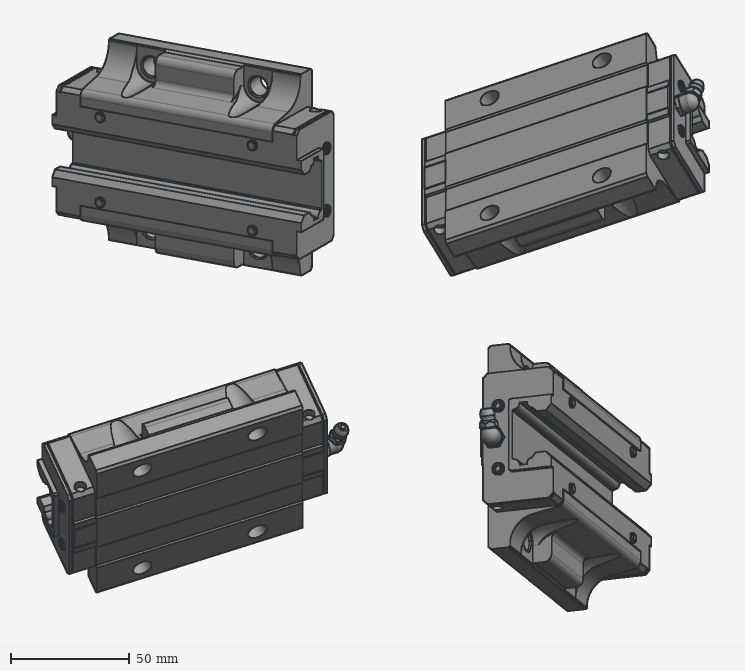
import cadquery as cq
import math


block_length = 93.1
block_width = 90.0
block_depth = 34.1
back_chamfer = 1.2
flange_thickness = 9.9
flange_bevel_y = 0.8
flange_bevel_z = 0.45
cove_radius = 12.6
cove_top_z = 43.9
leg_angle = 10.0
leg_fillet = 3.1
leg_ridge_z = 22.1

relief_depth = 0.8
relief_inner_z = 10.5
relief_outer_z = 25.5

hole_spacing = 52.0
hole_x = hole_spacing / 2
hole_z = 36.1
hole_diameter = 8.5
hole_chamfer = 0.7
spot_radius = 6.9

rib_half_length = hole_x - spot_radius
rib_shoulder = 0.8
rib_front_y = -18.4
rib_round = 3.3
rib_fillet = 2.9

cap_half_width = 28.9
cap_back_y = -2.1
cap_front_y = -33.7
cap_chamfer = 2.0
cap_half_length = 56.4
groove_width = 0.5
groove_depth = 0.4
plate_half_length = 58.3

pad_half_width = 6.8
pad_back_y = -0.4

side_hole_x = 51.7
side_hole_y = -6.1
side_hole_diameter = 5.0
side_hole_depth = 3.9

lip_length = 121.0
lip_half_length = lip_length / 2
lip_half_width = 15.9
lip_back_y = -14.5
lip_chamfer = 0.8

channel_floor_y = -16.1
channel_floor_z = 10.5
shoulder_z = 11.1
inner_shoulder_y = (-16.8, -17.2)
inner_curve = (-18.6, 11.8)
recess_y = (-19.4, -22.7)
recess_z = 13.8
outer_curve = (-23.5, 11.8)
outer_shoulder_y = -25.0
throat_y = (-26.7, -31.2)
throat_z = 9.1
mouth_z = 11.8

screw_y = -9.1
screw_z = 13.9
screw_diameter = 5.2
screw_head = 1.2
screw_chamfer = 0.4
socket_corners = 3.0
socket_depth = 0.8

plug_x = 37.0
plug_z = 19.0
plug_diameter = 4.4
plug_height = 1.3
plug_chamfer = 0.5

nipple_y = -7.2
base_flats = 8.2
base_thickness = 1.8
elbow_diameter = 8.0
elbow_x = -63.4
tilt = 21.5
collar_flats = 6.8
collar_start = 3.3
collar_end = 6.2
collar_top_diameter = 6.0
collar_chamfer_height = 1.4
neck_diameter = 5.7
neck_end = 7.4
head_diameter = 6.2
head_widest = 8.2
head_mid = 9.8
head_mid_diameter = 5.9
tip_end = 11.1
tip_diameter = 4.4
inlet_diameter = 2.3
inlet_depth = 0.7


def extruded_in_x(sketch, x_start, x_end):
    """Extrude a closed outline in (Y, Z) from x_start to x_end."""
    return sketch.extrude(x_end - x_start).translate((x_start, 0, 0))


def mirrored_in_z(half):
    return half.union(half.mirror("XY"))


def box(x_range, y_range, z_range):
    corner = (x_range[0], y_range[0], z_range[0])
    sizes = [high - low for low, high in (x_range, y_range, z_range)]
    return cq.Workplane("XY").box(*sizes, centered=False).translate(corner)


def chamfered_section(half_length, half_width, back_y, front_y, chamfer, edges="|X"):
    """A bar along X, with chamfers on the chosen long edges."""
    bar = box((-half_length, half_length), (front_y, back_y), (-half_width, half_width))
    return bar.edges(edges).chamfer(chamfer)


slope = math.tan(math.radians(leg_angle))
cove_centre_y = -flange_thickness - cove_radius
cove_end_angle = math.radians(leg_angle)
cove_mid_angle = math.radians((leg_angle + 90) / 2)


def cove_point(angle):
    return (
        cove_centre_y + cove_radius * math.sin(angle),
        cove_top_z - cove_radius * math.cos(angle),
    )


def leg_side_z(y):
    """Z of the leg's sloped outer side at a given Y."""
    end_y, end_z = cove_point(cove_end_angle)
    return end_z + (y - end_y) * slope


def steel_block():
    half_width = block_width / 2
    leg_corner = (-block_depth, leg_side_z(-block_depth))
    outline = (
        cq.Workplane("YZ")
        .moveTo(0, 0)
        .lineTo(0, relief_inner_z)
        .lineTo(-relief_depth, relief_inner_z + relief_depth)
        .lineTo(-relief_depth, relief_outer_z - relief_depth)
        .lineTo(0, relief_outer_z)
        .lineTo(0, half_width - back_chamfer)
        .lineTo(-back_chamfer, half_width)
        .lineTo(-flange_thickness + flange_bevel_y, half_width)
        .lineTo(-flange_thickness, half_width - flange_bevel_z)
        .lineTo(-flange_thickness, cove_top_z)
        .threePointArc(cove_point(cove_mid_angle), cove_point(cove_end_angle))
        .lineTo(*leg_corner)
        .lineTo(-block_depth, leg_ridge_z)
        .lineTo(cap_front_y, leg_ridge_z)
        .lineTo(cap_front_y, 0)
        .close()
    )
    half = extruded_in_x(outline, -block_length / 2, block_length / 2)
    half = half.edges(cq.NearestToPointSelector((0, *leg_corner))).fillet(leg_fillet)
    return mirrored_in_z(half)


def rib():
    """Bar on the flange, rounded on top and blended into the sloped leg."""
    corner_z = leg_side_z(rib_front_y)
    blend = rib_fillet * math.tan(math.radians(90 - leg_angle) / 2)
    blend_y = rib_front_y - blend * math.cos(cove_end_angle)
    blend_end = (blend_y, leg_side_z(blend_y))
    root_z = cap_half_width
    bevel_z = block_width / 2 - flange_bevel_z
    rib_outer_z = bevel_z - rib_shoulder * flange_bevel_z / flange_bevel_y
    outline = (
        cq.Workplane("YZ")
        .moveTo(-flange_thickness, root_z)
        .lineTo(-flange_thickness, bevel_z)
        .lineTo(-flange_thickness - rib_shoulder, rib_outer_z)
        .lineTo(rib_front_y + rib_round, rib_outer_z)
        .tangentArcPoint((rib_front_y, rib_outer_z - rib_round), relative=False)
        .lineTo(rib_front_y, corner_z + blend)
        .tangentArcPoint(blend_end, relative=False)
        .lineTo(blend_y, root_z)
        .close()
    )
    return mirrored_in_z(extruded_in_x(outline, -rib_half_length, rib_half_length))


def mounting_hole(x):
    """Spot face, chamfer and through hole on the +Z flange."""
    outer_z = block_width / 2
    spot_y = (-block_depth, -flange_thickness)
    spot = (
        cq.Workplane("XZ", origin=(x, spot_y[1], hole_z))
        .circle(spot_radius)
        .extrude(spot_y[1] - spot_y[0])
    )
    opening = box((x - spot_radius, x + spot_radius), spot_y, (hole_z, outer_z))
    bore = (
        cq.Workplane("XZ", origin=(x, 0, hole_z))
        .circle(hole_diameter / 2)
        .extrude(flange_thickness)
    )
    entry = cq.Workplane(cq.Solid.makeCone(
        hole_diameter / 2 + hole_chamfer, hole_diameter / 2, hole_chamfer,
        cq.Vector(x, -flange_thickness, hole_z), cq.Vector(0, 1, 0),
    ))
    return spot.union(opening).union(bore).union(entry)


def cap_section():
    """The caps and plates, with the groove between each cap and its plate."""
    bar = chamfered_section(plate_half_length, cap_half_width, cap_back_y, cap_front_y, cap_chamfer)
    core = chamfered_section(
        plate_half_length, cap_half_width - groove_depth,
        cap_back_y - groove_depth, cap_front_y, cap_chamfer,
    )
    for x_start in (cap_half_length, -cap_half_length - groove_width):
        slab = box(
            (x_start, x_start + groove_width),
            (cap_front_y, cap_back_y),
            (-cap_half_width, cap_half_width),
        )
        bar = bar.cut(slab.cut(core))
    return bar


def cap_pads():
    """Stepped pads that fill the back of the caps up to the block's relief."""
    x_range = (-cap_half_length, cap_half_length)
    wide = box(x_range, (cap_back_y, -relief_depth), (-relief_inner_z, relief_inner_z))
    narrow = box(x_range, (cap_back_y, pad_back_y), (-pad_half_width, pad_half_width))
    return wide.union(narrow)


def side_hole(x):
    return (
        cq.Workplane("XY", origin=(x, side_hole_y, cap_half_width - side_hole_depth))
        .circle(side_hole_diameter / 2)
        .extrude(side_hole_depth)
    )


def rail_channel():
    """Clearance for the rail, with a recess along each side wall."""
    outline = (
        cq.Workplane("YZ")
        .moveTo(channel_floor_y, 0)
        .lineTo(channel_floor_y, channel_floor_z)
        .lineTo(inner_shoulder_y[0], shoulder_z)
        .lineTo(inner_shoulder_y[1], shoulder_z)
        .threePointArc(inner_curve, (recess_y[0], recess_z))
        .lineTo(recess_y[1], recess_z)
        .threePointArc(outer_curve, (outer_shoulder_y, shoulder_z))
        .lineTo(throat_y[0], throat_z)
        .lineTo(throat_y[1], throat_z)
        .lineTo(cap_front_y, mouth_z)
        .lineTo(cap_front_y, 0)
        .close()
    )
    return mirrored_in_z(extruded_in_x(outline, -lip_half_length, lip_half_length))


def screw_head_at(z):
    """Screw head with a hexagon socket, on the +X end plate."""
    return (
        cq.Workplane("YZ", origin=(plate_half_length, screw_y, z))
        .circle(screw_diameter / 2)
        .extrude(screw_head)
        .faces(">X").chamfer(screw_chamfer)
        .faces(">X").workplane(origin=(0, screw_y, z))
        .polygon(6, socket_corners)
        .cutBlind(-socket_depth)
    )


def plug(x, z):
    return (
        cq.Workplane("XZ", origin=(x, cap_front_y, z))
        .circle(plug_diameter / 2)
        .extrude(plug_height)
        .faces("<Y").chamfer(plug_chamfer)
    )


def build_carriage():
    body = steel_block().union(rib())
    for x in (-hole_x, hole_x):
        hole = mounting_hole(x)
        body = body.cut(hole).cut(hole.mirror("XY"))
    body = body.union(cap_section()).union(cap_pads())
    for x in (-side_hole_x, side_hole_x):
        hole = side_hole(x)
        body = body.cut(hole).cut(hole.mirror("XY"))
    lip = chamfered_section(
        lip_half_length, lip_half_width, lip_back_y, cap_front_y, lip_chamfer, "|X and >Y",
    )
    body = body.union(lip).cut(rail_channel())
    for z in (-screw_z, screw_z):
        head = screw_head_at(z)
        body = body.union(head).union(head.mirror("YZ"))
    for x in (-plug_x, plug_x):
        for z in (-plug_z, plug_z):
            body = body.union(plug(x, z))
    return body


def hexagon_corners(flats):
    """Width across corners of a hexagon with a given width across flats."""
    return flats / math.cos(math.radians(30))


def nipple_outlet():
    """Outlet built along +Z from the origin: hexagon collar, neck, rounded head and inlet."""
    corner_radius = hexagon_corners(collar_flats) / 2
    collar = (
        cq.Workplane("XY")
        .workplane(offset=collar_start)
        .polygon(6, 2 * corner_radius)
        .extrude(collar_end - collar_start)
    )
    collar_limit = (
        cq.Workplane("XZ")
        .moveTo(0, 0)
        .lineTo(corner_radius, 0)
        .lineTo(corner_radius, collar_end - collar_chamfer_height)
        .lineTo(collar_top_diameter / 2, collar_end)
        .lineTo(0, collar_end)
        .close()
        .revolve(360, (0, 0, 0), (0, 1, 0))
    )
    head = (
        cq.Workplane("XZ")
        .moveTo(0, 0)
        .lineTo(neck_diameter / 2, 0)
        .lineTo(neck_diameter / 2, neck_end)
        .lineTo(head_diameter / 2, head_widest)
        .threePointArc((head_mid_diameter / 2, head_mid), (tip_diameter / 2, tip_end))
        .lineTo(inlet_diameter / 2, tip_end)
        .lineTo(0, tip_end - inlet_depth)
        .close()
        .revolve(360, (0, 0, 0), (0, 1, 0))
    )
    return collar.intersect(collar_limit).union(head)


def build_grease_nipple():
    """Hexagon base, elbow with a ball end, and the tilted outlet."""
    elbow_centre = (elbow_x, nipple_y, 0)
    base = (
        cq.Workplane("YZ", origin=(-plate_half_length, nipple_y, 0))
        .polygon(6, hexagon_corners(base_flats))
        .extrude(-base_thickness)
    )
    radius = elbow_diameter / 2
    stem_length = abs(elbow_x) - plate_half_length
    diagonal = radius * math.sqrt(0.5)
    elbow = (
        cq.Workplane("XY")
        .moveTo(-radius, 0)
        .threePointArc((-diagonal, diagonal), (0, radius))
        .lineTo(stem_length, radius)
        .lineTo(stem_length, 0)
        .close()
        .revolve(360, (0, 0, 0), (1, 0, 0))
        .translate(elbow_centre)
    )
    outlet = nipple_outlet().rotate((0, 0, 0), (0, 1, 0), -tilt).translate(elbow_centre)
    return base.union(elbow).union(outlet)


carriage = build_carriage()
grease_nipple = build_grease_nipple()

result = cq.Compound.makeCompound([carriage.solids().val(), grease_nipple.solids().val()])